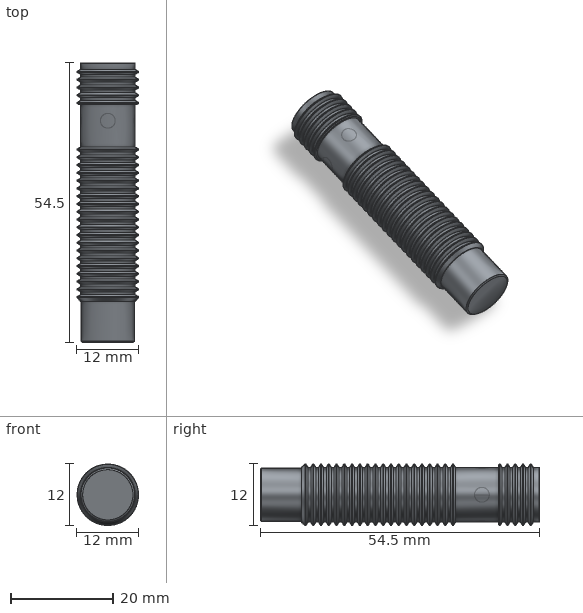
import cadquery as cq

length = 54.5
back_y = length / 2
front_y = -length / 2

core_radius = 5.35
crest_radius = 6.0
nose_radius = 5.25
nose_length = 8.0
nose_chamfer_width = 0.3
nose_chamfer_length = 0.2

ridge_crest_width = 0.15
ridge_base_width = 1.0
first_ridge_offset = 1.7
last_ridge_offset = 45.65
ridge_slots = 30
ridge_pitch = (last_ridge_offset - first_ridge_offset) / (ridge_slots - 1)
neck_slots = range(5, 10)

neck_start = 8.0
neck_length = 7.65

window_diameter = 2.9
window_offset = 11.2
window_count = 4
window_depth = 0.55


def ridge_y(slot):
    """Middle of the ridge at a pitch position, counted from the back."""
    return back_y - first_ridge_offset - slot * ridge_pitch


def ridge_points(slot):
    """Outline of one ridge, from its back foot to its front foot."""
    middle = ridge_y(slot)
    return [
        (core_radius, middle + ridge_base_width / 2),
        (crest_radius, middle + ridge_crest_width / 2),
        (crest_radius, middle - ridge_crest_width / 2),
        (core_radius, middle - ridge_base_width / 2),
    ]


def make_barrel():
    """Revolve the half outline; the last ridge is stretched into a taper that steps down to the nose."""
    outline = [(0, back_y), (core_radius, back_y)]
    for slot in range(ridge_slots):
        if slot not in neck_slots:
            outline += ridge_points(slot)
    outline[-1] = (core_radius, front_y + nose_length)
    outline += [
        (nose_radius, front_y + nose_length),
        (nose_radius, front_y + nose_chamfer_length),
        (nose_radius - nose_chamfer_width, front_y),
        (0, front_y),
    ]
    return cq.Workplane("XY").polyline(outline).close().revolve(360, (0, 0, 0), (0, 1, 0))


def trim_neck(body):
    """Turn the neck down to the core radius, leaving a square shoulder on the ridge behind it."""
    sleeve = (
        cq.Workplane("XZ", origin=(0, back_y - neck_start, 0))
        .circle(2 * crest_radius)
        .circle(core_radius)
        .extrude(neck_length)
    )
    return body.cut(sleeve)


def add_window(body, angle):
    """Set one flush round window into the neck, keeping its rim as an edge."""
    plug = (
        cq.Workplane("XY", origin=(0, back_y - window_offset, core_radius - window_depth))
        .circle(window_diameter / 2)
        .extrude(2 * window_depth)
        .rotate((0, 0, 0), (0, 1, 0), angle)
    )
    window = body.intersect(plug, clean=False)
    return body.cut(plug, clean=False).union(window, clean=False)


result = trim_neck(make_barrel())
for index in range(window_count):
    result = add_window(result, index * 360 / window_count)